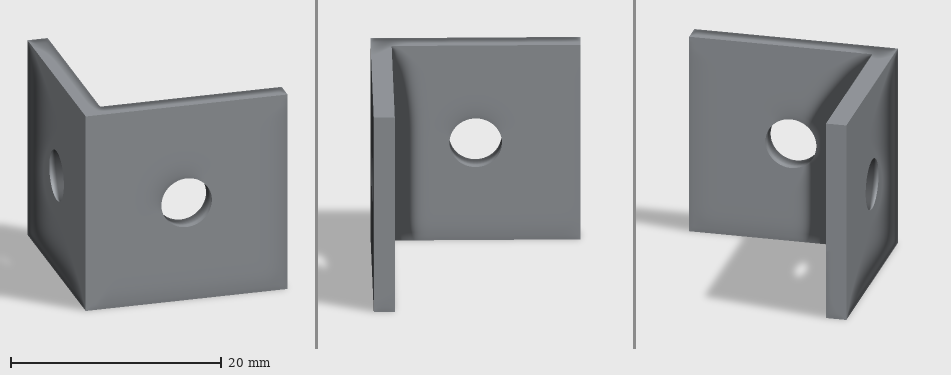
import cadquery as cq

side = 20.0
thickness = 2.0
hole_diameter = 5.0
mid = side / 2

front_flange = cq.Workplane("XY").box(side, thickness, side, centered=False)

side_flange = (
    cq.Workplane("XY")
    .box(thickness, side, side, centered=False)
    .translate((side - thickness, 0, 0))
)


def hole_cutter(start, direction):
    """Cylinder long enough to pass through the whole bracket."""
    return cq.Workplane(
        cq.Solid.makeCylinder(hole_diameter / 2, side, cq.Vector(*start), cq.Vector(*direction))
    )


front_hole = hole_cutter((mid, 0, mid), (0, 1, 0))
side_hole = hole_cutter((0, mid, mid), (1, 0, 0))

result = front_flange.union(side_flange).cut(front_hole).cut(side_hole)